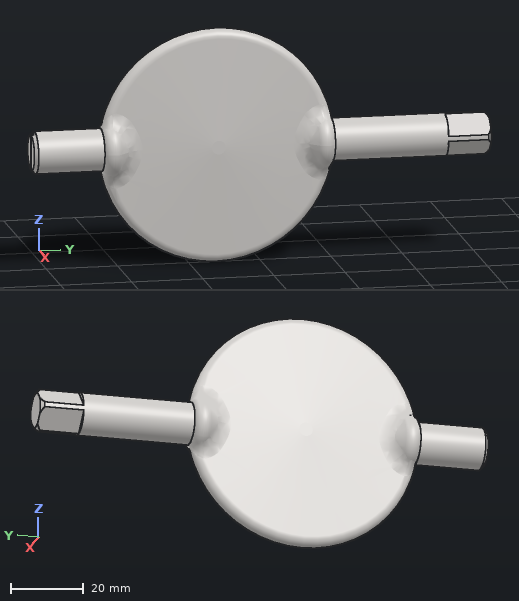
import cadquery as cq
import math

total_length = 128.5
drive_end_y = 76.5
plain_end_y = drive_end_y - total_length
shaft_radius = 12.0 / 2
end_chamfer = 1.0

drive_length = 12.2
drive_across_flats = 9.4

cutter_size = 4 * shaft_radius

slot_width = 1.3
slot_depth = 0.6

disc_radius = 33.0
rim_radius = 2.6
rim_center = disc_radius - rim_radius
disc_half_thickness = 4.0
tip_radius = 1.9

collar_radius = 8.0
collar_round = 2.7
collar_face_y = 32.5
blend_radius = 5.5

shaft_overlap = 2.6


def make_disc():
    """Tapered disc revolved about X."""
    profile = (
        cq.Workplane("XY")
        .moveTo(-disc_half_thickness, 0)
        .lineTo(-disc_half_thickness, tip_radius)
        .lineTo(-rim_radius, rim_center)
        .threePointArc((0, disc_radius), (rim_radius, rim_center))
        .lineTo(disc_half_thickness, tip_radius)
        .lineTo(disc_half_thickness, 0)
        .close()
    )
    return profile.revolve(360, (0, 0, 0), (1, 0, 0))


def make_collar():
    """Collar on the +Y side: rounded outside, with a 45 degree cone inward."""
    center_y = collar_face_y - collar_round
    center_r = collar_radius - collar_round
    diagonal = collar_round * math.sqrt(0.5)
    cone_y = center_y - diagonal
    cone_r = center_r + diagonal
    mid_angle = math.radians(45 / 2)
    mid_y = center_y - collar_round * math.sin(mid_angle)
    mid_r = center_r + collar_round * math.cos(mid_angle)
    profile = (
        cq.Workplane("XY")
        .moveTo(0, collar_face_y)
        .lineTo(center_r, collar_face_y)
        .threePointArc((center_r + diagonal, center_y + diagonal), (collar_radius, center_y))
        .threePointArc((mid_r, mid_y), (cone_r, cone_y))
        .lineTo(0, cone_y - cone_r)
        .close()
    )
    return profile.revolve(360, (0, 0, 0), (0, 1, 0))


def make_body():
    """Disc with a collar blended in at each side."""
    collar = make_collar()
    joined = make_disc().union(collar).union(collar.mirror("XZ"))
    return joined.edges("%BSPLINE").fillet(blend_radius)


def make_shaft(start_y, length):
    """Round shaft running in +Y for the given length, chamfered at both ends."""
    start = cq.Workplane("XZ", origin=(0, start_y, 0))
    shaft = start.circle(shaft_radius).extrude(-length)
    return shaft.faces("<Y or >Y").chamfer(end_chamfer)


def make_drive_shaft():
    """Shaft on the +Y side ending in the square drive, corners up and sideways."""
    inner_y = collar_face_y - shaft_overlap
    shaft = make_shaft(inner_y, drive_end_y - inner_y)
    ring = cq.Workplane("XZ", origin=(0, drive_end_y, 0)).rect(cutter_size, cutter_size)
    flats = ring.rect(drive_across_flats, drive_across_flats).extrude(drive_length)
    return shaft.cut(flats.rotate((0, 0, 0), (0, 1, 0), 45))


def make_plain_shaft():
    """Shaft on the -Y side with an indicator slot parallel to the disc."""
    inner_y = -collar_face_y + shaft_overlap
    shaft = make_shaft(plain_end_y, inner_y - plain_end_y)
    slot = cq.Workplane("XZ", origin=(0, plain_end_y, 0))
    slot = slot.rect(slot_width, cutter_size).extrude(-slot_depth)
    return shaft.cut(slot)


result = make_body().union(make_drive_shaft()).union(make_plain_shaft())